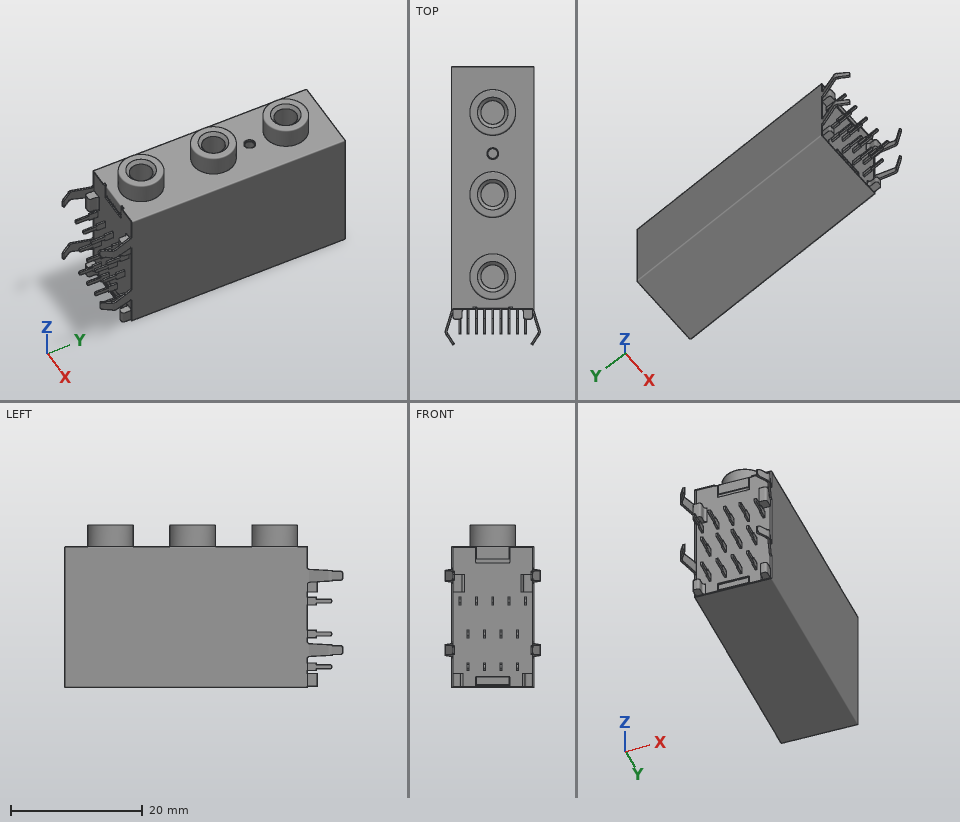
import cadquery as cq
import math


body_width = 12.65
body_height = 21.5
body_length = 36.97
total_length = 42.4
sheet = 0.3
edge_radius = 0.2
front_recess = 0.1
front_top_rim = 0.13
front_bottom_rim = 0.2

total_height = 24.8
jack_pitch = 12.5
first_jack_y = 4.95
jack_count = 3
jack_diameter = 7.0
jack_edge_radius = 0.2
bore_diameter = 3.6
bore_depth = 14.0
countersink_diameter = 4.65
countersink_angle = 90

vent_diameter = 1.8
vent_inner_diameter = 1.5
vent_depth = 1.7
vent_y = first_jack_y + 1.5 * jack_pitch

pocket_width = 5.2
pocket_depth = 0.3
pocket_corner_radius = 0.25
top_pocket_z = (body_height - 2.55, body_height)
bottom_pocket_z = (0.35, 1.75)
tab_width = 4.9
tab_thickness = 0.15
top_tab_z = (body_height - 1.9, body_height)
bottom_tab_z = (0.45, 1.6)
tab_fold_radius = 0.15
relief_width = 6.05
relief_depth = 0.35

pin_pitch = 2.5
pin_row_pitch = 2 * pin_pitch
first_row_z = 3.2
pins_per_row = (4, 4, 5)
pin_thickness = 0.3
pin_root_height = 1.2
pin_root_length = 1.4
pin_tip_height = 0.65
pin_length = 3.75
pin_tip_radius = 0.25

peg_length = 1.53
peg_outer_x = 6.05
peg_radius = 0.4
upper_peg_inner_x = 4.65
upper_peg_z = (14.55, 17.25)
lower_peg_inner_x = 4.9
lower_peg_z = (0.2, 2.15)

leg_centers_z = (5.72, 17.05)
leg_tip_y = body_length - total_length
leg_span = 14.5
leg_spread_angle = 17.0
leg_return_angle = 33.0
leg_bend_radius = 0.7
leg_neck_y = -3.8
leg_root_width = 2.0
leg_root_y = -0.2
leg_flare = 0.2
leg_neck_width = 1.6
leg_tip_width = 1.4
leg_tip_radius = 0.4

embed = 0.2


def block(x_range, y_range, z_range):
    """Axis-aligned box between the given limits."""
    size = [high - low for low, high in (x_range, y_range, z_range)]
    corner = cq.Vector(x_range[0], y_range[0], z_range[0])
    return cq.Workplane(cq.Solid.makeBox(*size, corner))


def centered_block(width, y_range, z_range):
    return block((-width / 2, width / 2), y_range, z_range)


def make_body():
    body = centered_block(body_width, (0, body_length), (0, body_height))
    body = body.edges("|Y or >Y").fillet(edge_radius)
    recess_z = (front_bottom_rim, body_height - front_top_rim)
    recess = centered_block(body_width - 2 * sheet, (0, front_recess), recess_z)
    return body.cut(recess)


def add_jacks(body):
    collar_height = total_height - body_height
    countersink_step = (countersink_diameter - bore_diameter) / 2
    countersink_depth = countersink_step / math.tan(math.radians(countersink_angle / 2))
    for index in range(jack_count):
        base = cq.Workplane(origin=(0, first_jack_y + index * jack_pitch, body_height - embed))
        collar = base.circle(jack_diameter / 2).extrude(collar_height + embed)
        body = body.union(collar.faces(">Z").edges().fillet(jack_edge_radius))
        rim = base.workplane(offset=collar_height + embed)
        bore = rim.circle(bore_diameter / 2).extrude(-bore_depth)
        countersink = cq.Solid.makeCone(
            countersink_diameter / 2,
            bore_diameter / 2,
            countersink_depth,
            pnt=rim.plane.origin,
            dir=cq.Vector(0, 0, -1),
        )
        body = body.cut(bore).cut(cq.Workplane(countersink))
    return body


def cut_vent(body):
    top = cq.Workplane(origin=(0, vent_y, body_height))
    body = body.cut(top.circle(vent_diameter / 2).extrude(-sheet))
    return body.cut(top.circle(vent_inner_diameter / 2).extrude(-vent_depth))


def cut_tab_relief(body):
    """Shallow notch across the top front edge that frees the fold of the top tab."""
    relief_z = (body_height - front_top_rim, body_height)
    return body.cut(centered_block(relief_width, (0, relief_depth), relief_z))


def make_tab(tab_z):
    """Sheet tab lying on the floor of a pocket."""
    return centered_block(tab_width, (pocket_depth - tab_thickness, pocket_depth + embed), tab_z)


def cut_pocket(body, pocket_z, rounded_corners):
    """Pocket in the front face, with the two corners on the chosen side rounded."""
    pocket = centered_block(pocket_width, (0, pocket_depth), pocket_z)
    pocket = pocket.faces(rounded_corners).edges("|Y").fillet(pocket_corner_radius)
    return body.cut(pocket)


def make_pin(x, z):
    root = block(
        (x - pin_thickness / 2, x + pin_thickness / 2),
        (-pin_root_length, embed),
        (z - pin_root_height / 2, z + pin_root_height / 2),
    )
    tip = block(
        (x - pin_thickness / 2, x + pin_thickness / 2),
        (-pin_length, 0),
        (z - pin_tip_height / 2, z + pin_tip_height / 2),
    )
    return root.union(tip.faces("<Y").edges("|X").fillet(pin_tip_radius))


def add_pins(body):
    for row, count in enumerate(pins_per_row):
        z = first_row_z + row * pin_row_pitch
        for index in range(count):
            body = body.union(make_pin((index - (count - 1) / 2) * pin_pitch, z))
    return body


def make_peg(inner_x, z_range):
    """Peg on the +X side: rounded end corners and a concave fillet where its inner side meets the face."""
    low, high = z_range
    r = peg_radius
    return (
        cq.Workplane(origin=(0, 0, low))
        .moveTo(inner_x - r, embed)
        .lineTo(inner_x - r, 0)
        .radiusArc((inner_x, -r), r)
        .lineTo(inner_x, r - peg_length)
        .radiusArc((inner_x + r, -peg_length), -r)
        .lineTo(peg_outer_x - r, -peg_length)
        .radiusArc((peg_outer_x, r - peg_length), -r)
        .lineTo(peg_outer_x, embed)
        .close()
        .extrude(high - low)
    )


def make_leg_strip():
    """Bent sheet on the +X side, swept along its middle line, with the full height of the body."""
    spread = math.radians(leg_spread_angle)
    fold = math.radians(leg_return_angle)
    radius = leg_bend_radius - sheet / 2
    center_x = leg_span / 2 - leg_bend_radius
    center_y = leg_neck_y + leg_bend_radius * math.sin(fold)

    def on_bend(angle):
        return (center_x + radius * math.cos(angle), center_y + radius * math.sin(angle))

    bend_start = on_bend(spread)
    bend_end = on_bend(-fold)
    wall_x = (body_width - sheet) / 2
    wall_y = bend_start[1] + (bend_start[0] - wall_x) / math.tan(spread)
    tip_y = leg_tip_y + sheet / 2 * math.sin(fold)
    tip_x = bend_end[0] - (bend_end[1] - tip_y) * math.tan(fold)
    path = (
        cq.Workplane()
        .moveTo(wall_x, embed)
        .lineTo(wall_x, wall_y)
        .lineTo(*bend_start)
        .threePointArc(on_bend(0), bend_end)
        .lineTo(tip_x, tip_y)
    )
    section = cq.Workplane("XZ", origin=(wall_x, embed, body_height / 2)).rect(sheet, body_height)
    return section.sweep(path, transition="right")


def make_leg_outline(z):
    """Tapered side outline of a leg: flared root, narrowing neck and rounded tip."""
    flared_width = leg_root_width + 2 * leg_flare
    half_outline = [
        (embed, flared_width / 2),
        (0, flared_width / 2),
        (leg_root_y, leg_root_width / 2),
        (leg_neck_y, leg_neck_width / 2),
        (leg_neck_y, leg_tip_width / 2),
        (leg_tip_y, leg_tip_width / 2),
    ]
    other_half = [(y, -offset) for y, offset in reversed(half_outline)]
    outline = cq.Workplane("YZ", origin=(0, 0, z)).polyline(half_outline + other_half).close()
    return outline.extrude(leg_span).faces("<Y").edges("|X").fillet(leg_tip_radius)


def add_mirrored_pair(body, piece):
    return body.union(piece).union(piece.mirror("YZ"))


result = make_body()
result = add_jacks(result)
result = cut_vent(result)
result = cut_tab_relief(result)
result = cut_pocket(result, top_pocket_z, "<Z")
result = cut_pocket(result, bottom_pocket_z, ">Z")
result = result.union(make_tab(top_tab_z).faces(">Z").edges("<Y").fillet(tab_fold_radius))
result = result.union(make_tab(bottom_tab_z))
result = add_pins(result)
result = add_mirrored_pair(result, make_peg(upper_peg_inner_x, upper_peg_z))
result = add_mirrored_pair(result, make_peg(lower_peg_inner_x, lower_peg_z))
for leg_z in leg_centers_z:
    result = add_mirrored_pair(result, make_leg_strip().intersect(make_leg_outline(leg_z)))